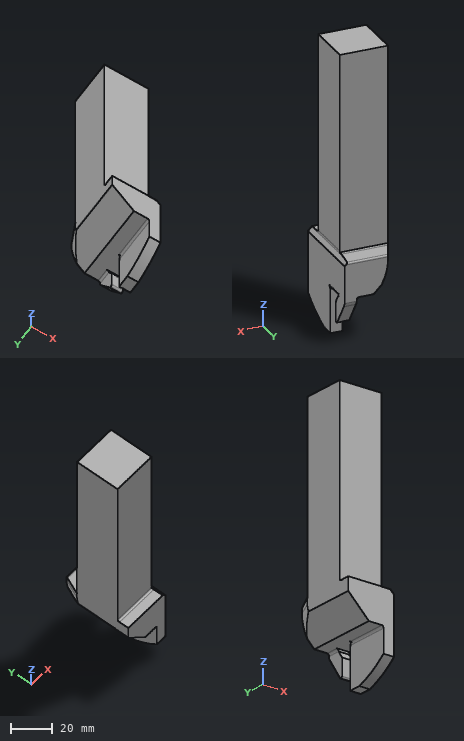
import cadquery as cq
import math

width = 27.8
depth = 43.0
height = 150.4

shank_side = 25.4
shank_front = 6.8
shank_back = shank_front + shank_side

ledge_z = 45.3
front_fillet = 1.0
side_fillet = 1.2
right_slope_width = width - shank_side
right_slope_end_z = 43.0
head_bottom_z = 25.1
left_slope_top_z = 37.6
left_slope_run = left_slope_top_z - head_bottom_z
blade_left = 21.4
root_fillet = 1.2

shoulder_start_y = shank_back + 1.8
shoulder_drop = 0.6
shoulder_round = 0.9

nose_front_z = 10.4
nose_mid = (9.3, 4.0)
nose_flat_start_y = 19.1

slot_front_y = 26.3
slot_relief = 1.4
slot_roof_back_y = 35.3
slot_slope_top_z = 23.8
hook_inner_y = 32.6
hook_slope_end_z = 19.7

hook_tip_z = 9.0
hook_tip_radius = 0.9
hook_flank_top = (42.3, 21.4)
hook_flank_bottom = (hook_inner_y + 2.0, 9.8)
hook_shoulder_mid = (42.9, 22.5)
hook_back_end_z = 24.0

relief_x = 5.0
relief_angle = math.degrees(math.atan2(relief_x, depth - shank_back))
relief_arc_top_z = 42.0
relief_arc_radius = 28.3


def front_profile():
    """Full-depth body outlined in XZ, with its two concave corners rounded."""
    right_slope_top_z = right_slope_end_z + right_slope_width
    body = (
        cq.Workplane("XZ")
        .moveTo(0, height)
        .lineTo(shank_side, height)
        .lineTo(shank_side, right_slope_top_z)
        .lineTo(width, right_slope_end_z)
        .lineTo(width, 0)
        .lineTo(blade_left, 0)
        .lineTo(blade_left, head_bottom_z)
        .lineTo(left_slope_run, head_bottom_z)
        .lineTo(0, left_slope_top_z)
        .close()
        .extrude(-depth)
    )
    mid_y = depth / 2
    body = body.edges(cq.NearestToPointSelector((shank_side, mid_y, right_slope_top_z))).fillet(side_fillet)
    return body.edges(cq.NearestToPointSelector((blade_left, mid_y, head_bottom_z))).fillet(root_fillet)


def side_profile():
    """Full-width body outlined in YZ: shank, ledge, blade, slot and hook."""
    round_middle = shoulder_round * math.sqrt(0.5)
    shoulder_end_z = ledge_z - shoulder_drop
    outline = (
        cq.Workplane("YZ")
        .moveTo(shank_front, height)
        .lineTo(shank_front, ledge_z + front_fillet)
        .radiusArc((shank_front - front_fillet, ledge_z), front_fillet)
        .lineTo(0, ledge_z)
        .lineTo(0, nose_front_z)
        .threePointArc(nose_mid, (nose_flat_start_y, 0))
        .lineTo(slot_front_y, 0)
        .lineTo(slot_front_y, head_bottom_z - slot_relief)
        .lineTo(slot_front_y - slot_relief, head_bottom_z)
        .lineTo(slot_roof_back_y, head_bottom_z)
        .lineTo(slot_roof_back_y, slot_slope_top_z)
        .lineTo(hook_inner_y, hook_slope_end_z)
        .lineTo(hook_inner_y, hook_tip_z + hook_tip_radius)
        .threePointArc((hook_inner_y + hook_tip_radius, hook_tip_z), hook_flank_bottom)
        .lineTo(*hook_flank_top)
        .threePointArc(hook_shoulder_mid, (depth, hook_back_end_z))
        .lineTo(depth, shoulder_end_z - shoulder_round)
        .threePointArc(
            (depth - shoulder_round + round_middle, shoulder_end_z - shoulder_round + round_middle),
            (depth - shoulder_round, shoulder_end_z),
        )
        .lineTo(shoulder_start_y, ledge_z)
        .lineTo(shank_back, ledge_z)
        .lineTo(shank_back, height)
        .close()
    )
    return outline.extrude(width)


def corner_relief():
    """Cutter for the slanted left back corner, curving inward below its flat top."""
    reach = 2 * depth
    outside = -depth
    cut_bottom_z = relief_arc_top_z - relief_arc_radius
    cutter = (
        cq.Workplane("XZ")
        .moveTo(outside, height)
        .lineTo(0, height)
        .lineTo(0, relief_arc_top_z)
        .radiusArc((relief_arc_radius, cut_bottom_z), -relief_arc_radius)
        .lineTo(outside, cut_bottom_z)
        .close()
        .extrude(reach, both=True)
    )
    cutter = cutter.rotate((0, 0, 0), (0, 0, 1), -relief_angle).translate((0, shank_back, 0))
    head_back = cq.Workplane("XY").box(blade_left, depth, ledge_z, centered=False)
    return cutter.intersect(head_back)


result = front_profile().intersect(side_profile()).cut(corner_relief())